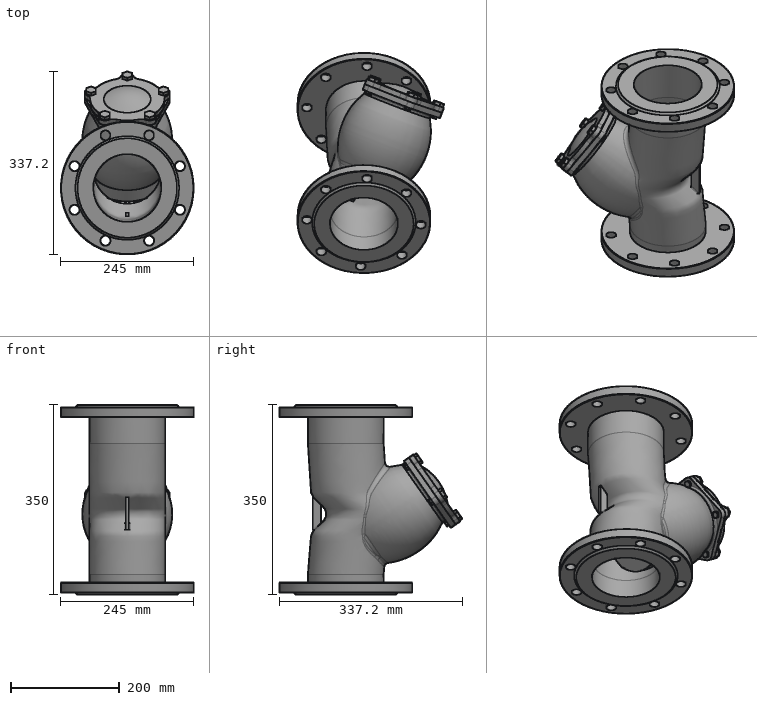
import cadquery as cq
import math

length = 350.0
bore_radius = 125.0 / 2
pipe_radius = 140.0 / 2
flange_diameter = 245.0
flange_thickness = 19.0
flange_chamfer = 1.0
face_diameter = 191.0
face_height = 4.0
face_taper = 45.0
flange_hole_count = 8
flange_hole_diameter = 18.0
flange_hole_circle = 210.0

bend_z = -26.0
bend_half_height = 35.0
bend_top_z = 104.0
bend_bottom_z = -137.0
bend_edge_shift = 6.2
bend_tip_radius = 18.0
bend_sections = 25

rib_width = 6.0
rib_outer_y = -61.0
rib_inner_y = -45.3
rib_top_z = 5.0
rib_bottom_z = -55.0
rib_fillet = 1.5

chamber_tilt = 35.0
chamber_axis_z = -87.0
chamber_end_radius = 130.0 / 2
chamber_middle_radius = 83.0
spigot_start = 15.0
barrel_start = 40.5
barrel_end = 172.0
barrel_fillet = 12.0
chamber_fillet = 8.0
seam_min_y = 1.0
edge_margin = 0.5

joint_start = 178.75
cover_disc_radius = 68.0
joint_flange_thickness = 11.0
cover_thickness = 9.8
bolt_count = 5
bolt_circle_radius = 140.0 / 2
lug_radius = 12.0
lug_fillet = 15.0
neck_fillet = 3.0
dome_radius = 86.6 / 2
dome_height = 10.0

bolt_diameter = 12.0
bolt_tip_length = 4.0
head_height = 6.3
head_across_flats = 18.0
head_turn = 30.0

cover_start = joint_start + joint_flange_thickness
cover_end = cover_start + cover_thickness
shank_start = joint_start - bolt_tip_length

bolt_places = []
for number in range(bolt_count):
    bolt_angle = math.pi / 2 + 2 * math.pi * number / bolt_count
    bolt_places.append((bolt_circle_radius * math.cos(bolt_angle), bolt_circle_radius * math.sin(bolt_angle)))

tilt = math.radians(chamber_tilt)
chamber_plane = cq.Plane(
    origin=(0, 0, chamber_axis_z),
    xDir=(1, 0, 0),
    normal=(0, math.cos(tilt), math.sin(tilt)),
)


def on_chamber_axis(shape):
    """Move a shape drawn along Z onto the chamber axis."""
    return cq.Workplane(shape.val().moved(cq.Location(chamber_plane)))


def bend_shift(z):
    """Shift of the section at height z: taper, 45 degree slope and round tip, alike above and below."""
    height = abs(z - bend_z)
    tip_half_height = bend_tip_radius * math.sin(math.pi / 4)
    if height >= bend_half_height:
        taper_end = bend_top_z if z > bend_z else bend_bottom_z
        taper_height = abs(taper_end - bend_z) - bend_half_height
        return bend_edge_shift * (abs(taper_end - z) / taper_height)
    slope_shift = bend_edge_shift + bend_half_height - height
    if height >= tip_half_height:
        return slope_shift
    tip_centre_shift = bend_edge_shift + bend_half_height - 2 * tip_half_height
    return tip_centre_shift + math.sqrt(bend_tip_radius**2 - height**2)


def bend(radius):
    """Smooth solid through circular sections spaced evenly in height."""
    sections = []
    for i in range(bend_sections):
        z = bend_bottom_z + (bend_top_z - bend_bottom_z) * i / (bend_sections - 1)
        centre = cq.Vector(0, bend_shift(z), z)
        sections.append(cq.Wire.makeCircle(radius, centre, cq.Vector(0, 0, 1)))
    return cq.Workplane(cq.Solid.makeLoft(sections))


def pipe_ends(radius):
    """Straight solids above and below the bend."""
    half = length / 2
    top = cq.Workplane().workplane(offset=bend_top_z).circle(radius).extrude(half - bend_top_z)
    bottom = cq.Workplane().workplane(offset=-half).circle(radius).extrude(half + bend_bottom_z)
    return top.union(bottom)


def pipe_flange():
    """Top flange with its raised face and bolt holes."""
    top = length / 2
    flange = (
        cq.Workplane()
        .workplane(offset=top - face_height - flange_thickness)
        .circle(flange_diameter / 2)
        .extrude(flange_thickness)
        .edges()
        .chamfer(flange_chamfer)
    )
    face = (
        cq.Workplane()
        .workplane(offset=top - face_height)
        .circle(face_diameter / 2)
        .extrude(face_height, taper=face_taper)
    )
    holes = (
        cq.Workplane()
        .workplane(offset=top - face_height - flange_thickness)
        .polarArray(flange_hole_circle / 2, 180 / flange_hole_count, 360, flange_hole_count)
        .circle(flange_hole_diameter / 2)
        .extrude(flange_thickness + face_height)
    )
    return flange.union(face).cut(holes)


def chamber():
    """Solid barrel with a straight spigot at its inner end and a straight neck at the joint."""
    profile = (
        cq.Workplane("XZ")
        .moveTo(0, spigot_start)
        .lineTo(chamber_end_radius, spigot_start)
        .lineTo(chamber_end_radius, barrel_start)
        .threePointArc(
            (chamber_middle_radius, (barrel_start + barrel_end) / 2),
            (chamber_end_radius, barrel_end),
        )
        .lineTo(chamber_end_radius, joint_start - neck_fillet)
        .radiusArc((chamber_end_radius + neck_fillet, joint_start), neck_fillet)
        .lineTo(0, joint_start)
        .close()
    )
    return on_chamber_axis(profile.revolve(360, (0, 0, 0), (0, 1, 0)))


def joint_plate():
    """Plate of the housing: a pentagon around the bolt circle, rounded about each bolt."""
    return (
        cq.Workplane()
        .workplane(offset=joint_start)
        .polyline(bolt_places)
        .close()
        .offset2D(lug_radius)
        .extrude(joint_flange_thickness)
    )


def cover_plate():
    """Disc of the cover with a rounded lug at each bolt."""
    base = cq.Workplane().workplane(offset=cover_start)
    lugs = base.pushPoints(bolt_places).circle(lug_radius).extrude(cover_thickness)
    plate = base.circle(cover_disc_radius).extrude(cover_thickness).union(lugs)
    return plate.edges("|Z").fillet(lug_fillet)


def bolt_shanks():
    """Round bars in the places of all bolt shanks, used to cut their holes."""
    base = cq.Workplane().workplane(offset=shank_start)
    return base.pushPoints(bolt_places).circle(bolt_diameter / 2).extrude(cover_end - shank_start)


def corner_edges(barrel):
    """Edge between spigot and barrel, told by its distance along the chamber axis."""
    return [
        edge
        for edge in barrel.edges().vals()
        if abs(chamber_plane.toLocalCoords(edge.Center()).z - barrel_start) < edge_margin
    ]


def blended_bend(barrel):
    """Bent stretch with the chamber, rounded at the spigot and where chamber and pipe meet."""
    rounded_barrel = cq.Workplane(barrel.val().fillet(barrel_fillet, corner_edges(barrel)))
    joined = bend(pipe_radius).union(rounded_barrel)
    seam = [
        edge
        for edge in joined.edges().vals()
        if edge.geomType() in ("BSPLINE", "OTHER") and edge.BoundingBox().ymin > seam_min_y
    ]
    return cq.Workplane(joined.val().fillet(chamber_fillet, seam))


def rib_foot_edges(shell):
    """The two edges where the lower end of the rib meets the outside of the pipe.

    The similar edges inside the bore are shorter than the rib is deep.
    """
    rib_depth = rib_inner_y - rib_outer_y
    feet = []
    for edge in shell.edges().vals():
        box = edge.BoundingBox()
        on_rib = max(abs(box.xmin), abs(box.xmax)) < rib_width / 2 + edge_margin
        at_foot = box.ymax < rib_inner_y + edge_margin and box.zmax < bend_z
        if on_rib and at_foot and edge.geomType() == "BSPLINE" and edge.Length() > rib_depth:
            feet.append(edge)
    return feet


def make_housing():
    barrel = chamber()
    top_flange = pipe_flange()
    bottom_flange = top_flange.mirror("XY")
    outside = blended_bend(barrel).union(pipe_ends(pipe_radius)).union(top_flange).union(bottom_flange)

    bore = bend(bore_radius).union(pipe_ends(bore_radius)).cut(barrel)
    rib = (
        cq.Workplane()
        .box(rib_width, rib_inner_y - rib_outer_y, rib_top_z - rib_bottom_z)
        .translate((0, (rib_inner_y + rib_outer_y) / 2, (rib_top_z + rib_bottom_z) / 2))
    )
    joint_flange = on_chamber_axis(joint_plate())
    holes = on_chamber_axis(bolt_shanks())
    shell = outside.cut(bore).union(rib)
    shell = cq.Workplane(shell.val().fillet(rib_fillet, rib_foot_edges(shell)))
    return shell.union(joint_flange).cut(holes)


def make_cover():
    sphere_radius = (dome_radius**2 + dome_height**2) / (2 * dome_height)
    dome = (
        cq.Workplane("XZ")
        .moveTo(0, cover_end)
        .lineTo(dome_radius, cover_end)
        .radiusArc((0, cover_end + dome_height), -sphere_radius)
        .close()
        .revolve(360, (0, 0, 0), (0, 1, 0))
    )
    plate = cover_plate().cut(bolt_shanks())
    return on_chamber_axis(plate.union(dome))


def make_bolt(place):
    base = cq.Workplane().workplane(offset=shank_start)
    shank = base.center(*place).circle(bolt_diameter / 2)
    shank = shank.extrude(cover_end - shank_start)
    corners = head_across_flats / math.cos(math.pi / 6)
    head = cq.Workplane().workplane(offset=cover_end).center(*place)
    head = head.transformed(rotate=(0, 0, head_turn)).polygon(6, corners).extrude(head_height)
    return on_chamber_axis(shank.union(head))


housing = make_housing()
cover = make_cover()
bolts = [make_bolt(place) for place in bolt_places]

result = cq.Compound.makeCompound(
    [housing.val(), cover.val(), *[bolt.val() for bolt in bolts]]
)